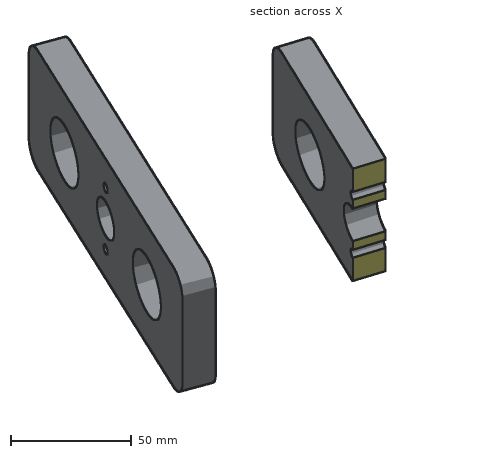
import cadquery as cq

length = 168.0
thickness = 15.0
height = 66.0
corner_radius = 10.0

large_hole_diameter = 30.5
large_hole_offset = 45.0
center_hole_diameter = 18.8
small_hole_diameter = 4.4
small_hole_offset = 17.0


def drill(body, positions, diameter):
    """Cut through holes at (x, z) positions on the plate's broad face."""
    return body.faces("<Y").workplane(origin=(0, 0, 0)).pushPoints(positions).hole(diameter)


plate = cq.Workplane("XY").box(length, thickness, height)
plate = plate.edges("|Y").fillet(corner_radius)

plate = drill(plate, [(-large_hole_offset, 0), (large_hole_offset, 0)], large_hole_diameter)
plate = drill(plate, [(0, 0)], center_hole_diameter)

plate = drill(plate, [(0, -small_hole_offset), (0, small_hole_offset)], small_hole_diameter)

result = plate